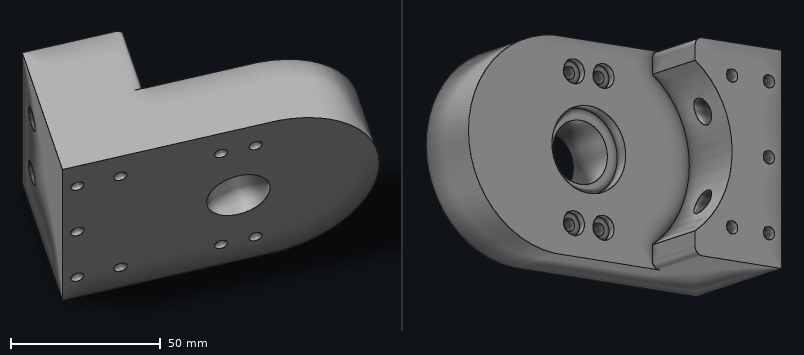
import cadquery as cq

length = 110.0
width = 50.0
height = 75.0
half_height = height / 2

plate_thickness = 25.0
plate_face_x = width - plate_thickness
round_start_y = 75.1

foot_length = 35.2
foot_corner_radius = 3.0
relief_bottom_y = 20.1
relief_radius = 36.0
relief_center_y = relief_bottom_y + relief_radius

bore_y = 61.0
bore_diameter = 22.0
bore_recess_diameter = 30.0
bore_recess_depth = 5.0

screw_diameter = 4.5
screw_head_diameter = 8.5
screw_head_depth = 3.0
screw_pitch_y = 12.0
screw_offset_z = 26.1

foot_row_y = 5.2
foot_hole_diameter = 8.5
foot_hole_x = 12.0
foot_hole_spacing = 31.0


def cylinder_along_x(diameter, start_x, depth, y, z=0.0):
    """Solid cylinder running in +X from start_x."""
    return (
        cq.Workplane("YZ", origin=(start_x, y, z))
        .circle(diameter / 2)
        .extrude(depth)
    )


def make_plate():
    return (
        cq.Workplane("YZ", origin=(plate_face_x, 0, 0))
        .moveTo(0, -half_height)
        .lineTo(round_start_y, -half_height)
        .threePointArc((length, 0), (round_start_y, half_height))
        .lineTo(0, half_height)
        .close()
        .extrude(plate_thickness)
    )


def make_foot():
    block = (
        cq.Workplane("XY")
        .box(plate_face_x, foot_length, height, centered=(False, False, True))
        .edges("|X and >Y")
        .fillet(foot_corner_radius)
    )
    relief = cylinder_along_x(2 * relief_radius, 0, plate_face_x, relief_center_y)
    return block.cut(relief)


def cut_stepped_hole(body, diameter, recess_diameter, recess_depth, y, z=0.0):
    """Through hole with a wider recess sunk into the plate face."""
    hole = cylinder_along_x(diameter, plate_face_x, plate_thickness, y, z)
    recess = cylinder_along_x(recess_diameter, plate_face_x, recess_depth, y, z)
    return body.cut(hole).cut(recess)


result = make_plate().union(make_foot())

result = cut_stepped_hole(
    result, bore_diameter, bore_recess_diameter, bore_recess_depth, bore_y
)

for y in (bore_y - screw_pitch_y / 2, bore_y + screw_pitch_y / 2):
    for z in (-screw_offset_z, screw_offset_z):
        result = cut_stepped_hole(
            result, screw_diameter, screw_head_diameter, screw_head_depth, y, z
        )

foot_screw_points = [(foot_row_y, 0.0)]
for y in (foot_row_y, relief_bottom_y):
    for z in (-screw_offset_z, screw_offset_z):
        foot_screw_points.append((y, z))
for y, z in foot_screw_points:
    result = result.cut(cylinder_along_x(screw_diameter, 0, width, y, z))

foot_holes = (
    cq.Workplane("XZ", origin=(foot_hole_x, 0, 0))
    .pushPoints([(0, -foot_hole_spacing / 2), (0, foot_hole_spacing / 2)])
    .circle(foot_hole_diameter / 2)
    .extrude(-foot_length)
)
result = result.cut(foot_holes)